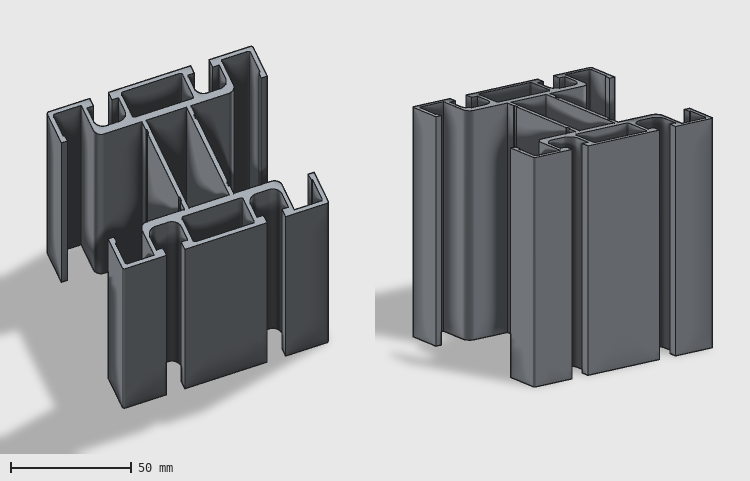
import cadquery as cq

WIDTH = 86.0
DEPTH = 92.0
LENGTH = 100.0
HALF_WIDTH = WIDTH / 2
HALF_DEPTH = DEPTH / 2

WALL = 2.0
INNER_FACE_X = 24.0
SHELF_Y = 31.3
SHELF_RADIUS = 3.5
OUTER_CORNER_RADIUS = 1.0

ARM_TIP_X = 26.3
ARM_TIP_THICKNESS = 2.8
ARM_STEP = 0.5
ARM_TAPER_LENGTH = 3.2
ARM_CORNER_RADIUS = 1.0

SLOT_Y = 22.5
SLOT_WIDTH = 14.0
SLOT_FLOOR_X = 27.6
SLOT_FLOOR_RADIUS = 4.2
LIP_THICKNESS = 4.1
MOUTH_WIDTH = 8.2

CHAMBER_FLOOR_X = 27.2
CHAMBER_WIDTH = 27.2
CHAMBER_RADIUS = 1.0

WEB_OUTER_Y = 11.0
WEB_INNER_Y = 9.0
GROOVE_X = 18.5
GROOVE_WIDTH = 2.0
GROOVE_DEPTH = 0.5


def bar(x_min, x_max, y_min, y_max):
    """Full-length block between two X and two Y limits."""
    size_x = x_max - x_min
    size_y = y_max - y_min
    block = cq.Workplane("XY").box(size_x, size_y, LENGTH)
    return block.translate((x_min + size_x / 2, y_min + size_y / 2, 0))


def prism(points):
    """Full-length prism on a closed polygon."""
    return cq.Workplane("XY").workplane(offset=-LENGTH / 2).polyline(points).close().extrude(LENGTH)


def arm_cavity():
    """Open space of the +X +Y corner, between the shelf and the hooked arm."""
    arm_y = HALF_DEPTH - WALL
    tip_y = HALF_DEPTH - ARM_TIP_THICKNESS
    wall_x = HALF_WIDTH - WALL
    cavity = prism([
        (wall_x, SHELF_Y),
        (wall_x, arm_y),
        (ARM_TIP_X + ARM_TAPER_LENGTH, arm_y),
        (ARM_TIP_X + ARM_TAPER_LENGTH, arm_y - ARM_STEP),
        (ARM_TIP_X, tip_y),
        (ARM_TIP_X, HALF_DEPTH),
        (INNER_FACE_X, HALF_DEPTH),
        (INNER_FACE_X, SHELF_Y),
    ])
    corner = cq.selectors.NearestToPointSelector((wall_x, arm_y, 0))
    return cavity.edges(corner).fillet(ARM_CORNER_RADIUS)


def t_slot():
    """T-slot of the +X +Y corner, opening through the +X face."""
    room = bar(SLOT_FLOOR_X, HALF_WIDTH - LIP_THICKNESS, SLOT_Y - SLOT_WIDTH / 2, SLOT_Y + SLOT_WIDTH / 2)
    room = room.edges("|Z and <X").fillet(SLOT_FLOOR_RADIUS)
    mouth = bar(SLOT_FLOOR_X + SLOT_FLOOR_RADIUS, HALF_WIDTH, SLOT_Y - MOUTH_WIDTH / 2, SLOT_Y + MOUTH_WIDTH / 2)
    return room.union(mouth)


def rail():
    """Rail on the +X side."""
    body = bar(INNER_FACE_X, HALF_WIDTH, -HALF_DEPTH, HALF_DEPTH)
    body = body.edges("|Z and >X").fillet(OUTER_CORNER_RADIUS)
    for cut in (arm_cavity(), t_slot()):
        body = body.cut(cut).cut(cut.mirror("XZ"))
    for side in (-1, 1):
        shelf_corner = cq.selectors.NearestToPointSelector((INNER_FACE_X, side * SHELF_Y, 0))
        body = body.edges(shelf_corner).fillet(SHELF_RADIUS)
    chamber = bar(CHAMBER_FLOOR_X, HALF_WIDTH - WALL, -CHAMBER_WIDTH / 2, CHAMBER_WIDTH / 2)
    return body.cut(chamber.edges("|Z").fillet(CHAMBER_RADIUS))


def web():
    """Web on the +Y side, with two shallow square grooves in its outer face."""
    plate = bar(-INNER_FACE_X, INNER_FACE_X, WEB_INNER_Y, WEB_OUTER_Y)
    for x in (-GROOVE_X, GROOVE_X):
        groove = bar(x - GROOVE_WIDTH / 2, x + GROOVE_WIDTH / 2, WEB_OUTER_Y - GROOVE_DEPTH, WEB_OUTER_Y)
        plate = plate.cut(groove)
    return plate


right_rail = rail()
back_web = web()
result = right_rail.union(right_rail.mirror("YZ")).union(back_web).union(back_web.mirror("XZ"))